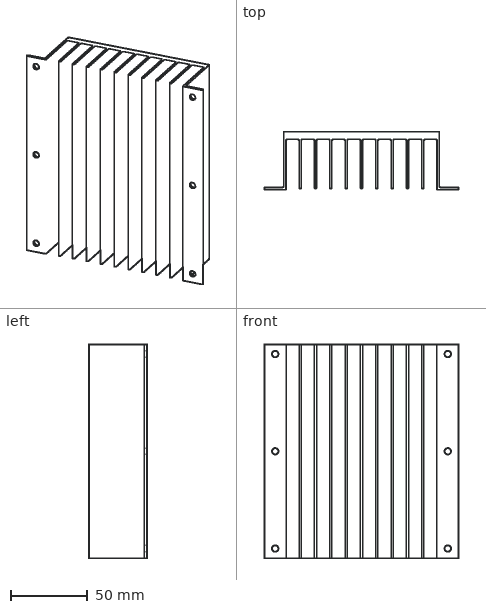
import cadquery as cq

WIDTH = 127.0
DEPTH = 38.1
HEIGHT = 139.7

CHANNEL_WIDTH = 101.6
BASE_THICKNESS = 5.08
WALL_THICKNESS = 1.5875
FLANGE_THICKNESS = 1.778
CORNER_RADIUS = WALL_THICKNESS / 2

FIN_COUNT = 9
FIN_THICKNESS = 1.5
FIN_PITCH = (CHANNEL_WIDTH - FIN_THICKNESS) / (FIN_COUNT + 1)
FIN_SETBACK = FLANGE_THICKNESS / 2

HOLE_DIAMETER = 4.05
HOLE_SPACING_X = 112.7
HOLE_SPACING_Z = 63.5
HOLE_ROWS = 3

BASE_FRONT = DEPTH - BASE_THICKNESS
HALF_WIDTH = WIDTH / 2
HALF_CHANNEL = CHANNEL_WIDTH / 2
HALF_CAVITY = HALF_CHANNEL - WALL_THICKNESS


def bar(x_min, x_max, y_min, y_max):
    """Full-height rectangular bar centred on Z = 0."""
    size_x = x_max - x_min
    size_y = y_max - y_min
    block = cq.Workplane("XY").box(size_x, size_y, HEIGHT, centered=(False, False, True))
    return block.translate((x_min, y_min, 0))


def rod(x, y, radius):
    """Full-height round bar that forms a rounded edge."""
    return cq.Workplane("XY").cylinder(HEIGHT, radius).translate((x, y, 0))


def round_corners(body, points):
    """Fillet the vertical edges that pass through the given (x, y) points."""
    edges = []
    for x, y in points:
        edges.append(body.edges(cq.selectors.NearestToPointSelector((x, y, 0))).val())
    return body.newObject(edges).fillet(CORNER_RADIUS)


def make_channel():
    """Base plate, side walls and outward flanges with fully rounded ends."""
    end_radius = FLANGE_THICKNESS / 2
    end_center = HALF_WIDTH - end_radius
    body = bar(-HALF_CHANNEL, HALF_CHANNEL, 0, DEPTH)
    body = body.union(bar(-end_center, end_center, 0, FLANGE_THICKNESS))
    body = body.cut(bar(-HALF_CAVITY, HALF_CAVITY, 0, BASE_FRONT))
    for side in (-1, 1):
        body = body.union(rod(side * end_center, end_radius, end_radius))
    return body


def make_fin(center):
    """Fin standing forward from the base, with a fully rounded tip."""
    tip_radius = FIN_THICKNESS / 2
    tip_center = FIN_SETBACK + tip_radius
    plate = bar(center - tip_radius, center + tip_radius, tip_center, BASE_FRONT)
    return plate.union(rod(center, tip_center, tip_radius))


def make_holes():
    """Cutters for the columns of through holes in the two flanges."""
    return (
        cq.Workplane("XZ")
        .rarray(HOLE_SPACING_X, HOLE_SPACING_Z, 2, HOLE_ROWS)
        .circle(HOLE_DIAMETER / 2)
        .extrude(-FLANGE_THICKNESS)
    )


corners = []
for side in (-1, 1):
    corners.append((side * HALF_CHANNEL, FLANGE_THICKNESS))
    corners.append((side * HALF_CAVITY, 0))
    corners.append((side * HALF_CAVITY, BASE_FRONT))

heat_sink = make_channel()
for index in range(FIN_COUNT):
    fin_center = (index - (FIN_COUNT - 1) / 2) * FIN_PITCH
    heat_sink = heat_sink.union(make_fin(fin_center))
    for side in (-1, 1):
        corners.append((fin_center + side * FIN_THICKNESS / 2, BASE_FRONT))

heat_sink = round_corners(heat_sink, corners)
result = heat_sink.cut(make_holes())